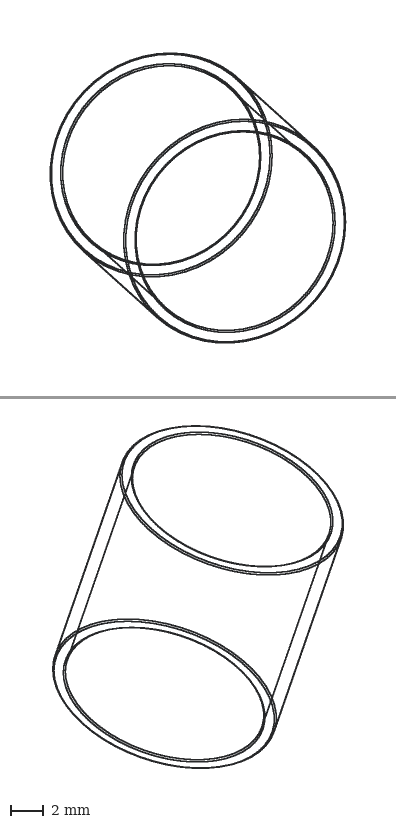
import cadquery as cq

length = 15.62
outer_diameter = 14.2
bore_diameter = 12.6
edge_chamfer = 0.1

sleeve = (
    cq.Workplane("YZ", origin=(-length / 2, 0, 0))
    .circle(outer_diameter / 2)
    .circle(bore_diameter / 2)
    .extrude(length)
)

result = sleeve.faces("<X or >X").edges().chamfer(edge_chamfer)